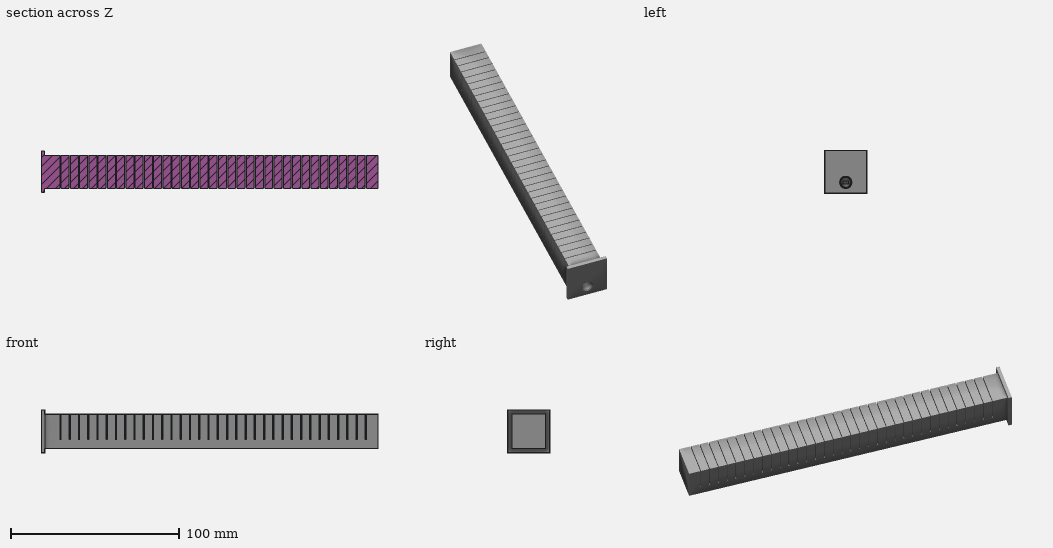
import cadquery as cq
import math

flange_thickness = 2.1
flange_width = 25.0
flange_height = 25.5

total_length = 200.1
flange_overhang = 2.5
bar_length = total_length - flange_thickness
bar_width = flange_width - 2 * flange_overhang
bar_height = flange_height - 2 * flange_overhang
bar_bottom = flange_overhang
bar_top = bar_bottom + bar_height

slot_count = 34
slot_pitch = 5.5
slot_width = 0.5
end_block_length = 7.0
last_slot_start = total_length - end_block_length - slot_width
first_slot_start = last_slot_start - (slot_count - 1) * slot_pitch
slot_floor_above_bar_bottom = 5.5

hole_diameter = 6.0
hole_radius = hole_diameter / 2
hole_center_height = 6.5
hole_depth = 6.0
mouth_chamfer = 0.6
drill_point_angle = 118.0
drill_point_length = hole_radius / math.tan(math.radians(drill_point_angle / 2))

extension_floor_height = 5.4
extension_depth = hole_depth + drill_point_length
pocket_width = 3.0
pocket_height = 1.8
pocket_depth = 2.0


def box(x_start, length, width, z_start, height):
    """Box centred on Y = 0 that starts at the given X and Z."""
    return (
        cq.Workplane("XY", origin=(x_start + length / 2, 0, z_start))
        .box(length, width, height, centered=(True, True, False))
    )


def make_blank():
    flange = box(0, flange_thickness, flange_width, 0, flange_height)
    bar = box(flange_thickness, bar_length, bar_width, bar_bottom, bar_height)
    return flange.union(bar)


def cut_slots(body):
    floor_height = bar_bottom + slot_floor_above_bar_bottom
    for index in range(slot_count):
        slot_start = first_slot_start + index * slot_pitch
        slot = box(slot_start, slot_width, bar_width, floor_height, bar_top - floor_height)
        body = body.cut(slot)
    return body


def make_drill_point():
    """Cone that ends the hole below the level floor."""
    return cq.Workplane(
        cq.Solid.makeCone(
            hole_radius,
            0,
            drill_point_length,
            pnt=cq.Vector(hole_depth, 0, hole_center_height),
            dir=cq.Vector(1, 0, 0),
        )
    )


def make_hole():
    """Bore whose far end has a level floor with the drill point below it."""
    bore = (
        cq.Workplane("YZ", origin=(0, 0, hole_center_height))
        .circle(hole_radius)
        .extrude(extension_depth)
    )
    below_floor = box(
        hole_depth,
        drill_point_length,
        hole_diameter,
        extension_floor_height - hole_diameter,
        hole_diameter,
    )
    material_under_floor = below_floor.cut(make_drill_point())
    return bore.cut(material_under_floor)


def make_mouth_chamfer():
    return cq.Workplane(
        cq.Solid.makeCone(
            hole_radius + mouth_chamfer,
            hole_radius,
            mouth_chamfer,
            pnt=cq.Vector(0, 0, hole_center_height),
            dir=cq.Vector(1, 0, 0),
        )
    )


def make_end_pocket():
    return box(extension_depth, pocket_depth, pocket_width, extension_floor_height, pocket_height)


result = cut_slots(make_blank())
result = result.cut(make_hole())
result = result.cut(make_mouth_chamfer())
result = result.cut(make_end_pocket())